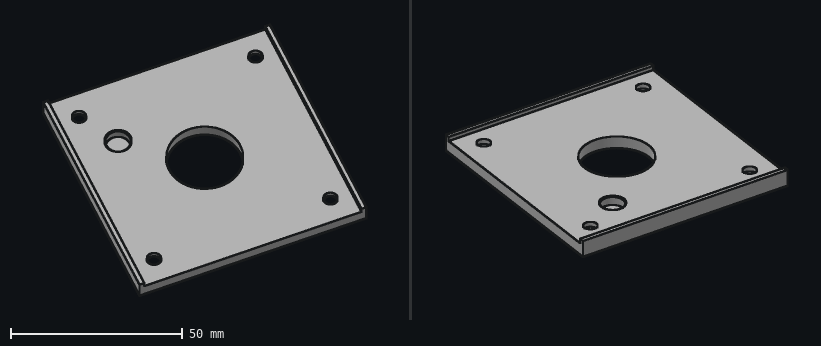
import cadquery as cq

side = 72.0
total_height = 5.5
lip_height = 1.45
lip_width = 1.5
base_thickness = total_height - lip_height

bore_diameter = 22.5
screw_hole_diameter = 4.25
screw_spacing = 56.0

countersink_diameter = 8.9
countersink_depth = (countersink_diameter - screw_hole_diameter) / 2

pocket_diameter = 8.0
pocket_depth = 3.0
pocket_chamfer = 0.3
pocket_x = -15.5
pocket_y = -20.95

plate = cq.Workplane("XY").box(side, side, base_thickness, centered=(True, True, False))

lip_offset = (side - lip_width) / 2
lips = (
    cq.Workplane("XY")
    .pushPoints([(0, -lip_offset), (0, lip_offset)])
    .box(side, lip_width, total_height, centered=(True, True, False))
)

body = plate.union(lips)

top_face = cq.Workplane("XY", origin=(0, 0, base_thickness))
bore = top_face.circle(bore_diameter / 2).extrude(-base_thickness)
screw_holes = (
    top_face.rect(screw_spacing, screw_spacing, forConstruction=True)
    .vertices()
    .circle(screw_hole_diameter / 2)
    .extrude(-base_thickness)
)
countersinks = (
    cq.Workplane("XY")
    .rect(screw_spacing, screw_spacing, forConstruction=True)
    .vertices()
    .eachpoint(
        cq.Solid.makeCone(countersink_diameter / 2, screw_hole_diameter / 2, countersink_depth),
        useLocalCoordinates=True,
    )
)

pocket_outline = top_face.center(pocket_x, pocket_y)
pocket = pocket_outline.circle(pocket_diameter / 2 - pocket_chamfer).extrude(-pocket_depth)
pocket_rim = cq.Workplane(
    cq.Solid.makeCone(
        pocket_diameter / 2,
        pocket_diameter / 2 - pocket_chamfer,
        pocket_chamfer,
        pnt=cq.Vector(pocket_x, pocket_y, base_thickness),
        dir=cq.Vector(0, 0, -1),
    )
)

result = body.cut(bore).cut(screw_holes).cut(countersinks).cut(pocket).cut(pocket_rim)